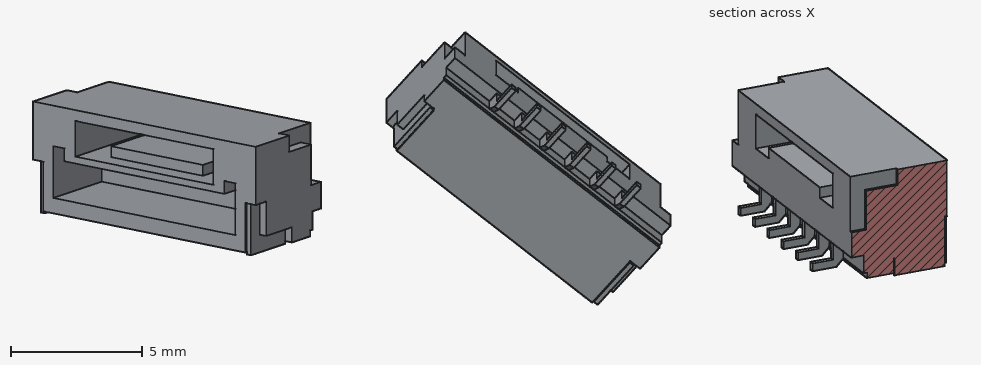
import cadquery as cq

WIDTH = 10.75
TOTAL_DEPTH = 4.85
TOP = 4.35
HOUSING_DEPTH = 4.05
HOUSING_BOTTOM = 0.1

REAR_LEDGE_BOTTOM = 1.05
REAR_WALL_Y = 3.54
REAR_FOOT_Y = 3.4
REAR_FOOT_TOP = 0.32

NOTCH_INSET = 0.5
NOTCH_FRONT_Y = 2.1
NOTCH_HEIGHT = 0.65
NOTCH_REAR_FRONT_Y = 3.44
NOTCH_REAR_BOTTOM = 2.11

RECESS_INSET = 0.49
PLATE_THICKNESS = 0.19
PLATE_FRONT_Y = 0.1
PLATE_REAR_Y = 2.23
PLATE_UPRIGHT_REAR_Y = 0.65
PLATE_TOP = 2.05
PLATE_FOOT_TOP = 0.7
RECESS_REAR_GAP = 0.02

CAVITY_WIDTH = 8.79
CAVITY_DEPTH = 3.01
CAVITY_BOTTOM = 0.71
CAVITY_TOP = 2.25
KEY_WIDTH = 0.53
KEY_TOP = 2.75

WINDOW_WIDTH = 6.65
WINDOW_BOTTOM = 2.52
WINDOW_TOP = 3.92
LATCH_WIDTH = 4.43
LATCH_HEIGHT = 0.43
LATCH_FRONT_Y = 0.78

LEAD_COUNT = 6
LEAD_PITCH = 1.25
LEAD_WIDTH = 0.2
LEAD_UPRIGHT_DEPTH = 0.43
LEAD_FOOT_HEIGHT = 0.32
LEAD_BEND_CHAMFER = 0.3


def box(x_range, y_range, z_range):
    """Box between the given limits along each axis."""
    x0, x1 = x_range
    y0, y1 = y_range
    z0, z1 = z_range
    return cq.Workplane("XY").box(x1 - x0, y1 - y0, z1 - z0, centered=False).translate((x0, y0, z0))


def centred_box(width, y_range, z_range):
    """Box centred on X = 0."""
    return box((-width / 2, width / 2), y_range, z_range)


def side_profile(points, x_start, width):
    """Extrude a closed (Y, Z) outline along +X from x_start."""
    return cq.Workplane("YZ").workplane(offset=x_start).polyline(points).close().extrude(width)


def both_ends(shape):
    """Add the mirror image at the opposite end."""
    return shape.union(shape.mirror("YZ"))


def housing_block():
    outline = [
        (0, HOUSING_BOTTOM),
        (REAR_FOOT_Y, HOUSING_BOTTOM),
        (REAR_FOOT_Y, REAR_FOOT_TOP),
        (REAR_WALL_Y, REAR_FOOT_TOP),
        (REAR_WALL_Y, REAR_LEDGE_BOTTOM),
        (HOUSING_DEPTH, REAR_LEDGE_BOTTOM),
        (HOUSING_DEPTH, TOP),
        (0, TOP),
    ]
    return side_profile(outline, -WIDTH / 2, WIDTH)


def corner_notches():
    outline = [
        (NOTCH_FRONT_Y, TOP),
        (NOTCH_FRONT_Y, TOP - NOTCH_HEIGHT),
        (NOTCH_REAR_FRONT_Y, TOP - NOTCH_HEIGHT),
        (NOTCH_REAR_FRONT_Y, NOTCH_REAR_BOTTOM),
        (HOUSING_DEPTH, NOTCH_REAR_BOTTOM),
        (HOUSING_DEPTH, TOP),
    ]
    return both_ends(side_profile(outline, -WIDTH / 2, NOTCH_INSET))


def plate_outline(front_y, rear_y):
    """L shape shared by the anchor plates and their recesses."""
    return [
        (front_y, 0),
        (rear_y, 0),
        (rear_y, PLATE_FOOT_TOP),
        (PLATE_UPRIGHT_REAR_Y, PLATE_FOOT_TOP),
        (PLATE_UPRIGHT_REAR_Y, PLATE_TOP),
        (front_y, PLATE_TOP),
    ]


def plate_recesses():
    outline = plate_outline(0, PLATE_REAR_Y + RECESS_REAR_GAP)
    return both_ends(side_profile(outline, -WIDTH / 2, RECESS_INSET))


def anchor_plates():
    outline = plate_outline(PLATE_FRONT_Y, PLATE_REAR_Y)
    outer_face_x = -WIDTH / 2 + RECESS_INSET - PLATE_THICKNESS
    return both_ends(side_profile(outline, outer_face_x, PLATE_THICKNESS))


def mating_cavity():
    depth_range = (0, CAVITY_DEPTH)
    left = -CAVITY_WIDTH / 2
    cavity = centred_box(CAVITY_WIDTH, depth_range, (CAVITY_BOTTOM, CAVITY_TOP))
    key_slot = box((left, left + KEY_WIDTH), depth_range, (CAVITY_BOTTOM, KEY_TOP))
    return cavity.union(both_ends(key_slot))


def window():
    return centred_box(WINDOW_WIDTH, (0, HOUSING_DEPTH), (WINDOW_BOTTOM, WINDOW_TOP))


def latch_rib():
    return centred_box(
        LATCH_WIDTH,
        (LATCH_FRONT_Y, HOUSING_DEPTH),
        (WINDOW_BOTTOM, WINDOW_BOTTOM + LATCH_HEIGHT),
    )


def solder_lead(x_centre):
    upright_rear_y = REAR_WALL_Y + LEAD_UPRIGHT_DEPTH
    outline = [
        (REAR_WALL_Y + LEAD_BEND_CHAMFER, 0),
        (TOTAL_DEPTH, 0),
        (TOTAL_DEPTH, LEAD_FOOT_HEIGHT),
        (upright_rear_y, LEAD_FOOT_HEIGHT),
        (upright_rear_y, REAR_LEDGE_BOTTOM),
        (REAR_WALL_Y, REAR_LEDGE_BOTTOM),
        (REAR_WALL_Y, LEAD_BEND_CHAMFER),
    ]
    return side_profile(outline, x_centre - LEAD_WIDTH / 2, LEAD_WIDTH)


result = housing_block()
for cut in (corner_notches(), plate_recesses(), mating_cavity(), window()):
    result = result.cut(cut)

result = result.union(latch_rib()).union(anchor_plates())
for index in range(LEAD_COUNT):
    result = result.union(solder_lead((index - (LEAD_COUNT - 1) / 2) * LEAD_PITCH))